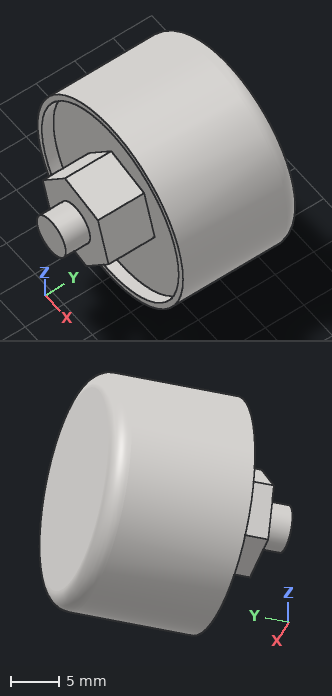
import cadquery as cq

cap_diameter = 25.4
cap_length = 15.5
cap_edge_radius = 1.9
rim_width = 0.75
recess_depth = 1.5
hex_across_corners = 11.73
hex_projection = 4.5
hex_turn = 48.4
stud_diameter = 5.08
stud_length = 3.15


def build_cap():
    """Round cap with its rim at Y = 0, a rounded +Y edge and a shallow recess."""
    cap = cq.Workplane("XZ").circle(cap_diameter / 2).extrude(-cap_length)
    cap = cap.faces(">Y").edges().fillet(cap_edge_radius)
    recess = cq.Workplane("XZ").circle(cap_diameter / 2 - rim_width).extrude(-recess_depth)
    return cap.cut(recess)


def build_hexagon():
    """Hexagonal boss rising from the recess floor."""
    return (
        cq.Workplane("XZ", origin=(0, recess_depth, 0))
        .transformed(rotate=(0, 0, hex_turn))
        .polygon(6, hex_across_corners)
        .extrude(recess_depth + hex_projection)
    )


def build_stud():
    """Round stud on the end of the hexagon."""
    return cq.Workplane("XZ", origin=(0, -hex_projection, 0)).circle(stud_diameter / 2).extrude(stud_length)


result = build_cap().union(build_hexagon()).union(build_stud())